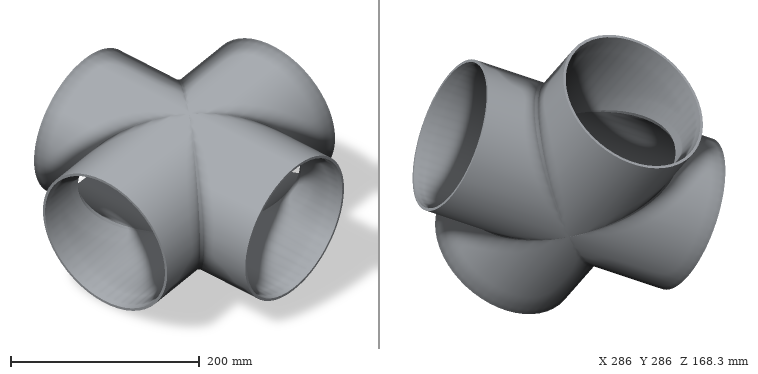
import cadquery as cq
import math

OUTER_DIAMETER = 168.3
WALL = 3.0
LENGTH = 286.0
WELD_LEG = 3.0

OUTER_RADIUS = OUTER_DIAMETER / 2
BORE_RADIUS = OUTER_RADIUS - WALL
HALF_LENGTH = LENGTH / 2
WELD_TOE = OUTER_RADIUS + WELD_LEG
QUARTER_TURN = 90


def prism(outline):
    """Upright prism over a plan outline, taller than the pipes."""
    return cq.Workplane("XY").polyline(outline).close().extrude(OUTER_DIAMETER, both=True)


def mitred_arm(radius):
    """The +X arm as a solid rod, mitred where it meets the two weld strips beside it."""
    mitre_end = HALF_LENGTH * radius / WELD_TOE
    mitre = prism([(0, 0), (HALF_LENGTH, -mitre_end), (HALF_LENGTH, mitre_end)])
    rod = cq.Workplane("YZ").circle(radius).extrude(HALF_LENGTH)
    return rod.intersect(mitre)


def weld_strip(radius):
    """Strip in the +X +Y corner, tapering to nothing at the top and bottom crowns.

    Its slanted face belongs to an elliptic cylinder whose axis is square to the seam plane.
    The wedge limits it to the narrow gap between two neighbouring arms.
    """
    reach = (WELD_TOE + radius) / math.sqrt(2)
    half_width = (WELD_TOE - radius) / math.sqrt(2)
    ellipse_plane = cq.Plane(origin=(0, 0, 0), xDir=(1, 1, 0), normal=(1, -1, 0))
    cylinder = (
        cq.Workplane(ellipse_plane)
        .workplane(offset=-half_width)
        .ellipse(reach, radius)
        .extrude(2 * half_width)
    )
    wedge = prism([(0, 0), (WELD_TOE, radius), (radius, WELD_TOE)])
    return cylinder.intersect(wedge)


def four_around(piece):
    """Copies of a piece at each quarter turn about Z."""
    return [piece.rotate((0, 0, 0), (0, 0, 1), QUARTER_TURN * turn) for turn in range(4)]


def solid_cross(radius):
    """Four rods meeting at the centre, with their inner corners filled by weld strips."""
    first_arm, *other_arms = four_around(mitred_arm(radius))
    cross = first_arm
    for piece in other_arms + four_around(weld_strip(radius)):
        cross = cross.union(piece)
    return cross


result = solid_cross(OUTER_RADIUS).cut(solid_cross(BORE_RADIUS))